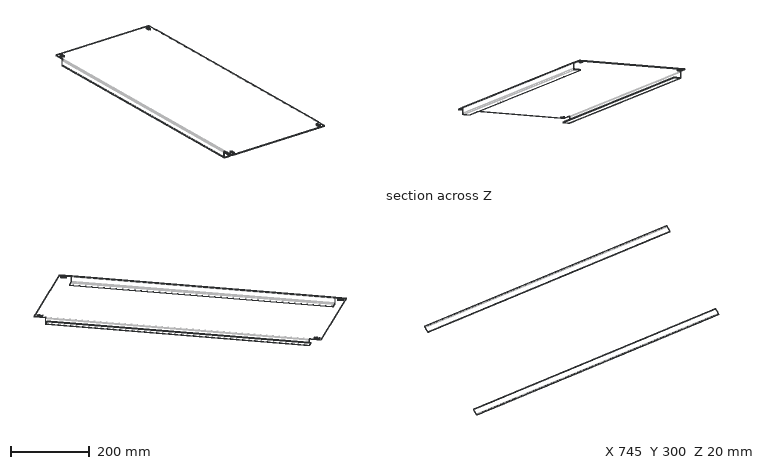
import cadquery as cq

plate_length = 745.0
overall_width = 300.0
overall_height = 20.0

sheet_thickness = 2.5
inner_bend_radius = 1.0
outer_bend_radius = inner_bend_radius + sheet_thickness
flange_length = 685.0
lip_width = 20.0

slot_length = 15.0
slot_width = 7.0
slot_spacing_x = 719.0
slot_spacing_y = 272.0

plate_width = overall_width - 2 * outer_bend_radius


def make_plate():
    """Flat top sheet, whose ends reach past the folded flanges."""
    return cq.Workplane("XY").box(
        plate_length, plate_width, sheet_thickness, centered=(True, True, False)
    ).translate((0, 0, -sheet_thickness))


def make_flange():
    """Flange on the +Y side: bent down from the plate, then inward as a lip."""
    outer_face = overall_width / 2
    inner_face = outer_face - sheet_thickness
    bend_start = outer_face - outer_bend_radius
    lip_edge = outer_face - lip_width
    upper_bend_end = -outer_bend_radius
    lower_bend_start = -overall_height + outer_bend_radius
    plate_underside = -sheet_thickness
    lip_top = -overall_height + sheet_thickness

    return (
        cq.Workplane("YZ")
        .moveTo(bend_start, 0)
        .radiusArc((outer_face, upper_bend_end), outer_bend_radius)
        .lineTo(outer_face, lower_bend_start)
        .radiusArc((bend_start, -overall_height), outer_bend_radius)
        .lineTo(lip_edge, -overall_height)
        .lineTo(lip_edge, lip_top)
        .lineTo(bend_start, lip_top)
        .radiusArc((inner_face, lower_bend_start), -inner_bend_radius)
        .lineTo(inner_face, upper_bend_end)
        .radiusArc((bend_start, plate_underside), -inner_bend_radius)
        .close()
        .extrude(flange_length / 2, both=True)
    )


def cut_mounting_slots(body):
    """Round-ended through slots at the four corners of the plate."""
    slots = (
        cq.Workplane("XY")
        .rect(slot_spacing_x, slot_spacing_y, forConstruction=True)
        .vertices()
        .slot2D(slot_length, slot_width)
        .extrude(-sheet_thickness)
    )
    return body.cut(slots)


flange = make_flange()
folded_sheet = make_plate().union(flange).union(flange.mirror("XZ"))
result = cut_mounting_slots(folded_sheet)